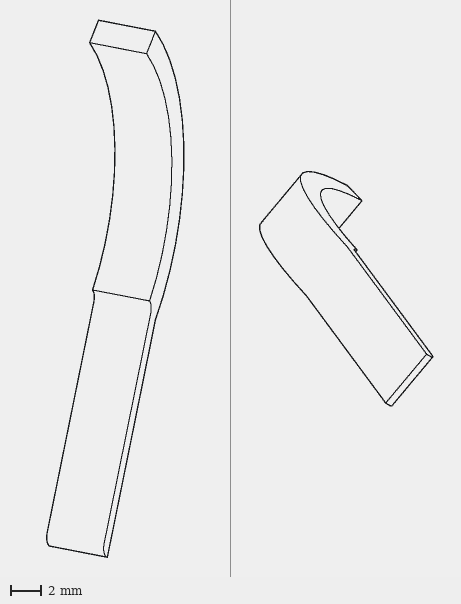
import cadquery as cq
import math

width = 4.3
height = 35.23
outer_radius = 15.15
head_thickness = 1.73
head_half_angle = 42.9
step_angle = 40.2
arm_thickness = 0.9
arm_tilt = 25.0
tip_radius = 0.88
step_blend_rise = 0.35

inner_radius = outer_radius - head_thickness


def on_arc(radius, degrees):
    """Point (Y, Z) on a circle about the head's centre, measured from +Y."""
    angle = math.radians(degrees)
    return (radius * math.cos(angle), radius * math.sin(angle))


arm_root = on_arc(outer_radius, -head_half_angle)
tilt = math.radians(arm_tilt)
arm_length = (height + 2 * arm_root[1]) / math.cos(tilt)


def on_arm(along, across):
    """Point (Y, Z) at a distance down the arm and forward of its back face."""
    return (
        arm_root[0] - along * math.sin(tilt) - across * math.cos(tilt),
        arm_root[1] - along * math.cos(tilt) + across * math.sin(tilt),
    )


tip_inset = tip_radius * (1 - math.sqrt(0.5))
tip_middle = (arm_length - tip_inset, arm_thickness - tip_inset)

profile = (
    cq.Workplane("YZ")
    .moveTo(*on_arc(outer_radius, head_half_angle))
    .threePointArc((outer_radius, 0), arm_root)
    .lineTo(*on_arm(arm_length, 0))
    .lineTo(*on_arm(arm_length, arm_thickness - tip_radius))
    .threePointArc(on_arm(*tip_middle), on_arm(arm_length - tip_radius, arm_thickness))
    .lineTo(*on_arm(-step_blend_rise, arm_thickness))
    .tangentArcPoint(on_arc(inner_radius, -step_angle), relative=False)
    .threePointArc((inner_radius, 0), on_arc(inner_radius, head_half_angle))
    .close()
)

result = profile.extrude(width / 2, both=True)